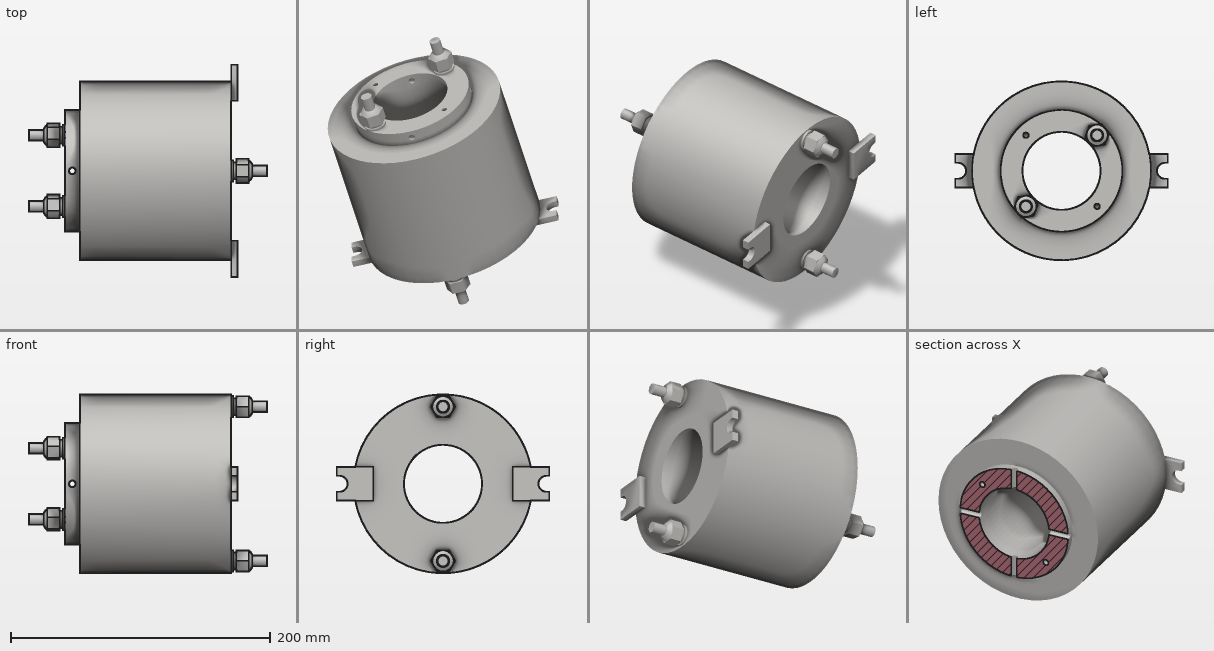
import cadquery as cq
import math


body_dia = 138.0
body_length = 116.5
flange_dia = 94.0
flange_thickness = 11.5
bore_dia = 60.0

set_screw_dia = 5.0
set_screw_to_flange_face = 5.7

tapped_dia = 4.2
tapped_depth = 9.2
drill_point_angle = 118
bolt_square = 54.9

lug_span = 164.0
lug_length = 28.0
lug_height = 26.0
lug_thickness = 5.1
lug_slot_width = 12.1
lug_slot_depth = 8.3

collar_dia = 16.5
collar_length = 1.8
neck_dia = 13.4
neck_length = 2.2
hex_across_flats = 16.3
hex_length = 9.5
dome_length = 3.0
dome_tip_dia = 9.5
dome_bulge_dia = 13.8
cable_dia = 8.5
overall_length = 183.5
rear_gland_spacing = 119.0
front_hex_angle = 10
rear_hex_angle = 0

flange_face = -flange_thickness
gland_length = (overall_length - flange_thickness - body_length) / 2


def cylinder_x(diameter, start, length):
    """Cylinder on the X axis beginning at X = start."""
    return cq.Workplane("YZ", origin=(start, 0, 0)).circle(diameter / 2).extrude(length)


def make_housing():
    body = cylinder_x(body_dia, 0, body_length)
    flange = cylinder_x(flange_dia, flange_face, flange_thickness)
    return body.union(flange)


def make_lug():
    """Lug on the +Y side, with a round-bottomed slot open at its outer end."""
    outer_end = lug_span / 2
    slot_radius = lug_slot_width / 2
    slot_center = outer_end - lug_slot_depth + slot_radius
    rear_face = cq.Workplane("YZ", origin=(body_length, 0, 0))
    plate = (
        rear_face.center(outer_end - lug_length / 2, 0)
        .rect(lug_length, lug_height)
        .extrude(lug_thickness)
    )
    round_end = rear_face.center(slot_center, 0).circle(slot_radius).extrude(lug_thickness)
    slot_mouth = (
        rear_face.center((slot_center + outer_end) / 2, 0)
        .rect(outer_end - slot_center, lug_slot_width)
        .extrude(lug_thickness)
    )
    return plate.cut(round_end).cut(slot_mouth)


def make_gland(hex_angle):
    """Cable gland pointing along +X from X = 0; at angle 0 two hexagon corners lie along Y."""
    hex_start = collar_length + neck_length
    dome_start = hex_start + hex_length
    dome_end = dome_start + dome_length
    hex_across_corners = hex_across_flats / math.cos(math.radians(30))

    collar = cylinder_x(collar_dia, 0, collar_length)
    neck = cylinder_x(neck_dia, 0, hex_start)
    nut = (
        cq.Workplane("YZ", origin=(hex_start, 0, 0))
        .polygon(6, hex_across_corners)
        .extrude(hex_length)
        .rotate((0, 0, 0), (1, 0, 0), hex_angle)
    )
    dome = (
        cq.Workplane("XY")
        .moveTo(dome_start, 0)
        .lineTo(dome_start, hex_across_flats / 2)
        .threePointArc((dome_start + dome_length / 2, dome_bulge_dia / 2), (dome_end, dome_tip_dia / 2))
        .lineTo(dome_end, 0)
        .close()
        .revolve(360, (0, 0, 0), (1, 0, 0))
    )
    cable = cylinder_x(cable_dia, dome_start, gland_length - dome_start)
    return collar.union(neck).union(nut).union(dome).union(cable)


def make_tapped_hole():
    """Cutter for a blind hole with a drill point, entering the flange face along +X."""
    radius = tapped_dia / 2
    point_length = radius / math.tan(math.radians(drill_point_angle / 2))
    return (
        cq.Workplane("XY", origin=(flange_face, 0, 0))
        .moveTo(0, 0)
        .lineTo(0, radius)
        .lineTo(tapped_depth, radius)
        .lineTo(tapped_depth + point_length, 0)
        .close()
        .revolve(360, (0, 0, 0), (1, 0, 0))
    )


result = make_housing()

lug = make_lug()
result = result.union(lug).union(lug.mirror("XZ"))

front_gland = (
    make_gland(front_hex_angle)
    .rotate((0, 0, 0), (0, 0, 1), 180)
    .translate((flange_face, 0, 0))
)
tapped_hole = make_tapped_hole()
half_square = bolt_square / 2
for side in (1, -1):
    offset = side * half_square
    result = result.union(front_gland.translate((0, -offset, offset)))
    result = result.cut(tapped_hole.translate((0, offset, offset)))

rear_gland = make_gland(rear_hex_angle).translate((body_length, 0, 0))
for side in (1, -1):
    result = result.union(rear_gland.translate((0, 0, side * rear_gland_spacing / 2)))

result = result.cut(cylinder_x(bore_dia, flange_face, flange_thickness + body_length))
set_screw_x = flange_face + set_screw_to_flange_face
for plane in ("XZ", "XY"):
    set_screw_hole = (
        cq.Workplane(plane)
        .center(set_screw_x, 0)
        .circle(set_screw_dia / 2)
        .extrude(flange_dia / 2, both=True)
    )
    result = result.cut(set_screw_hole)